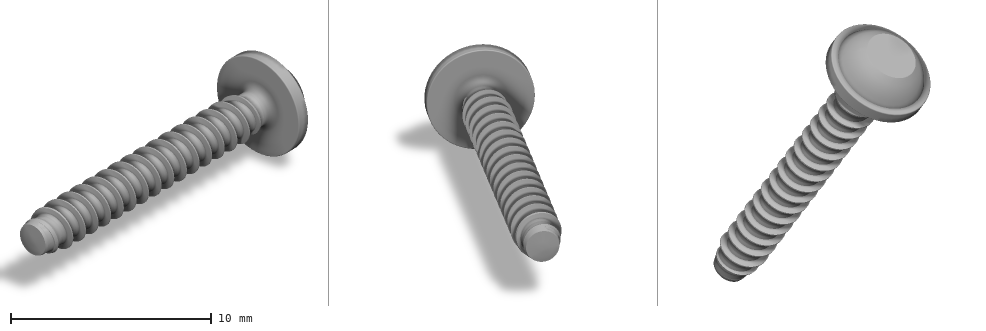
import cadquery as cq
import math


head_height = 1.9
flange_diameter = 5.5
flange_thickness = 0.72
flange_edge_round = 0.05
dome_base_radius = 2.38
dome_top_radius = 1.35

total_length = 18.9
core_radius = 0.89
tip_point_height = 0.05
tip_y = head_height - total_length
tip_rim_y = tip_y + tip_point_height
tip_rim_radius = 0.85
lead_in_angle = 15.0

neck_radius = 0.96
neck_fillet = 0.4
neck_length = 0.62
neck_taper_length = 0.85
root_overlap = 0.02
root_radius = core_radius - root_overlap

swept_length = 18.05
swept_turns = 19
thread_pitch = swept_length / swept_turns
crest_radius = 1.25
crest_half_width = 0.04
ridge_half_width = 0.11
foot_half_width = 0.32
foot_height = 0.047
ridge_base_radius = core_radius + foot_height
thread_start_y = -18.18
thread_end_y = -neck_length
runout_start_radius = 1.04
runout_slope = 0.2

trim_clearance = 0.19
trim_radius = crest_radius + trim_clearance


def make_head_and_neck():
    """Revolve the head and the neck around the Y axis and round the flange rims."""
    dome_center_y = (
        dome_top_radius**2 + head_height**2 - dome_base_radius**2 - flange_thickness**2
    ) / (2 * (head_height - flange_thickness))
    dome_radius = math.hypot(dome_top_radius, head_height - dome_center_y)
    dome_mid_y = (head_height + flange_thickness) / 2
    dome_mid_radius = math.sqrt(dome_radius**2 - (dome_mid_y - dome_center_y) ** 2)

    flange_radius = flange_diameter / 2
    fillet_center_radius = neck_radius + neck_fillet
    fillet_mid_offset = neck_fillet * math.sqrt(0.5)
    neck_end_y = -neck_length - neck_taper_length

    body = (
        cq.Workplane("XY")
        .moveTo(0, head_height)
        .lineTo(dome_top_radius, head_height)
        .threePointArc((dome_mid_radius, dome_mid_y), (dome_base_radius, flange_thickness))
        .lineTo(flange_radius, flange_thickness)
        .lineTo(flange_radius, 0)
        .lineTo(fillet_center_radius, 0)
        .threePointArc(
            (fillet_center_radius - fillet_mid_offset, fillet_mid_offset - neck_fillet),
            (neck_radius, -neck_fillet),
        )
        .lineTo(neck_radius, -neck_length)
        .lineTo(root_radius, neck_end_y)
        .lineTo(0, neck_end_y)
        .close()
        .revolve(360, (0, 0), (0, 1))
    )
    flange_rims = cq.selectors.RadiusNthSelector(-1)
    return body.edges(flange_rims).fillet(flange_edge_round)


def make_rod_envelope():
    """Solid of revolution that limits the rod: tip point, lead-in cone and thread runout cone."""
    lead_in_length = (trim_radius - tip_rim_radius) / math.tan(math.radians(lead_in_angle))
    runout_length = (trim_radius - runout_start_radius) / runout_slope
    return (
        cq.Workplane("XY")
        .moveTo(0, thread_end_y)
        .lineTo(runout_start_radius, thread_end_y)
        .lineTo(trim_radius, thread_end_y - runout_length)
        .lineTo(trim_radius, tip_rim_y + lead_in_length)
        .lineTo(tip_rim_radius, tip_rim_y)
        .lineTo(0, tip_y)
        .close()
        .revolve(360, (0, 0), (0, 1))
    )


def make_threaded_rod():
    """Sweep the thread along a right-handed helix, fuse it with an overlong core and trim both."""
    foot_slope = (foot_half_width - ridge_half_width) / foot_height
    root_half_width = foot_half_width + root_overlap * foot_slope

    thread_section = [
        (root_radius, -root_half_width),
        (ridge_base_radius, -ridge_half_width),
        (crest_radius, -crest_half_width),
        (crest_radius, crest_half_width),
        (ridge_base_radius, ridge_half_width),
        (root_radius, root_half_width),
    ]
    helix = cq.Wire.makeHelix(thread_pitch, swept_length, core_radius)
    thread = (
        cq.Workplane("XZ")
        .polyline(thread_section)
        .close()
        .sweep(cq.Workplane(helix), isFrenet=True)
    )
    core = (
        cq.Workplane("XY", origin=(0, 0, -thread_pitch))
        .circle(core_radius)
        .extrude(swept_length + 2 * thread_pitch)
    )
    rod = (
        core.union(thread)
        .rotate((0, 0, 0), (1, 0, 0), -90)
        .translate((0, thread_start_y, 0))
    )
    return rod.intersect(make_rod_envelope())


result = make_head_and_neck().union(make_threaded_rod())